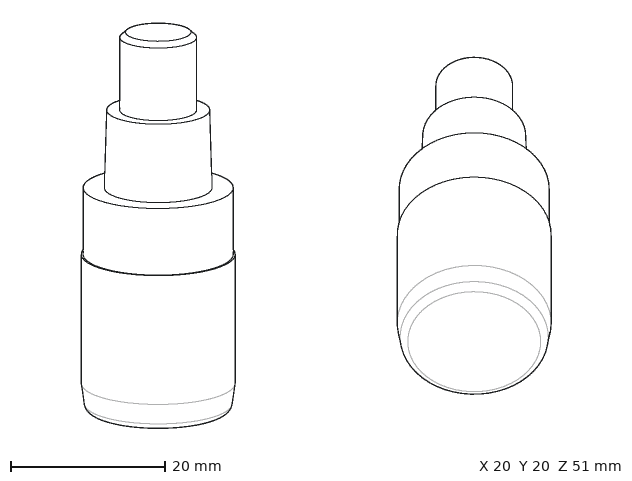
import cadquery as cq

LEAD_IN_TOP = 3.6
BAND_TOP = 21.0
HOUSING_TOP = 30.0
NECK_TOP = 40.5
PIN_TOP = 51.0

BAND_RADIUS = 20.0 / 2
COLLAR_RADIUS = 19.5 / 2
LEAD_IN_BASE_RADIUS = 9.5
BASE_EDGE_FILLET = 1.0

NECK_BASE_RADIUS = 7.0
NECK_TOP_RADIUS = 6.7
SHANK_RADIUS = 10.0 / 2
TIP_CHAMFER_WIDTH = 0.75
TIP_CHAMFER_HEIGHT = 0.7


def make_housing():
    """Solid round body with its axis on Z, standing on Z = 0."""
    profile = (
        cq.Workplane("XZ")
        .lineTo(LEAD_IN_BASE_RADIUS, 0)
        .lineTo(BAND_RADIUS, LEAD_IN_TOP)
        .lineTo(BAND_RADIUS, BAND_TOP)
        .lineTo(COLLAR_RADIUS, BAND_TOP)
        .lineTo(COLLAR_RADIUS, HOUSING_TOP)
        .lineTo(0, HOUSING_TOP)
        .close()
    )
    body = profile.revolve(360, (0, 0, 0), (0, 1, 0))
    return body.faces("<Z").edges().fillet(BASE_EDGE_FILLET)


def make_pin():
    """Stepped pin standing on the flat top of the housing."""
    profile = (
        cq.Workplane("XZ")
        .moveTo(0, HOUSING_TOP)
        .lineTo(NECK_BASE_RADIUS, HOUSING_TOP)
        .lineTo(NECK_TOP_RADIUS, NECK_TOP)
        .lineTo(SHANK_RADIUS, NECK_TOP)
        .lineTo(SHANK_RADIUS, PIN_TOP - TIP_CHAMFER_HEIGHT)
        .lineTo(SHANK_RADIUS - TIP_CHAMFER_WIDTH, PIN_TOP)
        .lineTo(0, PIN_TOP)
        .close()
    )
    return profile.revolve(360, (0, 0, 0), (0, 1, 0))


housing = make_housing()
pin = make_pin()

result = cq.Compound.makeCompound([housing.val(), pin.val()])